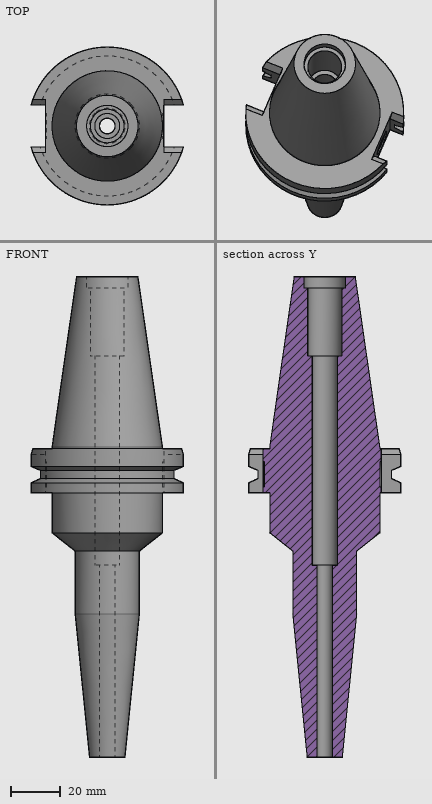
import cadquery as cq

total_height = 193.2
gauge_height = 124.8
flange_top = 124.0
flange_bottom = 106.3
collar_bottom = 90.2
shank_top = 83.0
nose_top = 57.5

nose_tip_radius = 7.2
shank_radius = 13.0
collar_radius = 22.2
flange_radius = 31.79
taper_tip_radius = 12.4

groove_radius = 28.2
groove_wide_top = 117.0
groove_floor_top = 115.4
groove_floor_bottom = 112.0
groove_wide_bottom = 110.3

slot_width = 16.8
shallow_floor_x = 25.0
deep_floor_x = 22.8
slot_chamfer = 2.3
dimple_radius = 5.0
dimple_depth = 0.5

bore_steps = [(8.3, 4.5), (6.8, 31.9), (5.0, 116.0), (3.0, total_height)]


def holder_body():
    """Revolve the half profile of the tapered tool holder about Z."""
    profile = [
        (0, 0),
        (nose_tip_radius, 0),
        (shank_radius, nose_top),
        (shank_radius, shank_top),
        (collar_radius, collar_bottom),
        (collar_radius, flange_bottom),
        (flange_radius, flange_bottom),
        (flange_radius, groove_wide_bottom),
        (groove_radius, groove_floor_bottom),
        (groove_radius, groove_floor_top),
        (flange_radius, groove_wide_top),
        (flange_radius, flange_top),
        (collar_radius, flange_top),
        (collar_radius, gauge_height),
        (taper_tip_radius, total_height),
        (0, total_height),
    ]
    return cq.Workplane("XZ").polyline(profile).close().revolve(360, (0, 0), (0, 1))


def slot_cutter(side, floor_x):
    """Slot with chamfered upper edges and a round dimple in its floor; side is +1 or -1 along X."""
    half_width = slot_width / 2
    mouth_half_width = half_width + slot_chamfer
    outline = [
        (-half_width, flange_bottom),
        (half_width, flange_bottom),
        (half_width, flange_top - slot_chamfer),
        (mouth_half_width, flange_top),
        (-mouth_half_width, flange_top),
        (-half_width, flange_top - slot_chamfer),
    ]
    floor = cq.Workplane("YZ").workplane(offset=side * floor_x)
    slot = floor.polyline(outline).close().extrude(side * (flange_radius - floor_x))
    dimple_z = (groove_floor_top + groove_floor_bottom) / 2
    dimple = floor.center(0, dimple_z).circle(dimple_radius).extrude(-side * dimple_depth)
    return slot.union(dimple)


result = holder_body()
for side, floor_x in ((-1, shallow_floor_x), (1, deep_floor_x)):
    result = result.cut(slot_cutter(side, floor_x))
for radius, depth in bore_steps:
    bore = cq.Workplane("XY").workplane(offset=total_height - depth).circle(radius).extrude(depth)
    result = result.cut(bore)